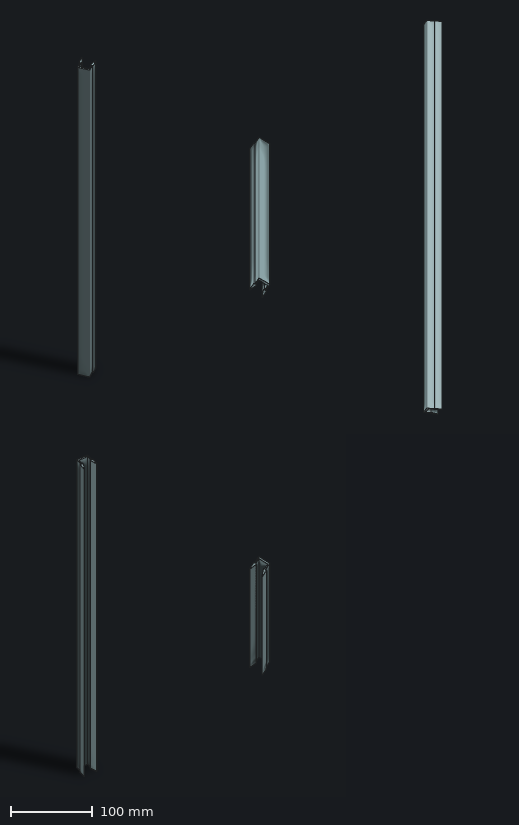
import cadquery as cq

overall_width = 18.67
overall_depth = 19.05
length = 508.0

channel_width = 15.875
wall_thickness = 1.5875
floor_thickness = 2.54
corner_radius = 0.254

head_height = overall_depth / 2
head_base_width = 4.1
head_tip_width = 0.75
head_straight_height = 1.0

floor_y = -overall_depth / 2
floor_top_y = floor_y + floor_thickness
tip_y = overall_depth / 2
head_base_y = tip_y - head_height
head_shoulder_y = head_base_y + head_straight_height
head_outer_x = overall_width / 2
head_inner_x = head_outer_x - head_base_width
head_tip_inner_x = head_outer_x - head_tip_width
wall_outer_x = channel_width / 2
wall_inner_x = wall_outer_x - wall_thickness

half_outline = [
    (wall_outer_x, floor_y),
    (wall_outer_x, head_base_y),
    (head_outer_x, head_base_y),
    (head_outer_x, tip_y),
    (head_tip_inner_x, tip_y),
    (head_inner_x, head_shoulder_y),
    (head_inner_x, head_base_y),
    (wall_inner_x, head_base_y),
    (wall_inner_x, floor_top_y),
]

rounded_corners = [
    (wall_outer_x, floor_y),
    (head_outer_x, head_base_y),
    (head_outer_x, tip_y),
    (head_inner_x, head_shoulder_y),
    (head_inner_x, head_base_y),
]


def mirrored(points):
    """Reflect points across the YZ plane and reverse their order."""
    return [(-x, y) for x, y in reversed(points)]


def make_channel():
    """Sharp-cornered U channel with a wedge head on each wall."""
    outline = half_outline + mirrored(half_outline)
    return cq.Workplane("XY").polyline(outline).close().extrude(length)


def round_corners(body):
    """Round the lengthwise edges on the outside of the floor and around both heads."""
    mid_height = length / 2
    corners = rounded_corners + mirrored(rounded_corners)
    edges = cq.Workplane("XY")
    for x, y in corners:
        nearest = cq.selectors.NearestToPointSelector((x, y, mid_height))
        edges = edges.add(body.edges("|Z").edges(nearest))
    return body.newObject(edges.vals()).fillet(corner_radius)


result = round_corners(make_channel())